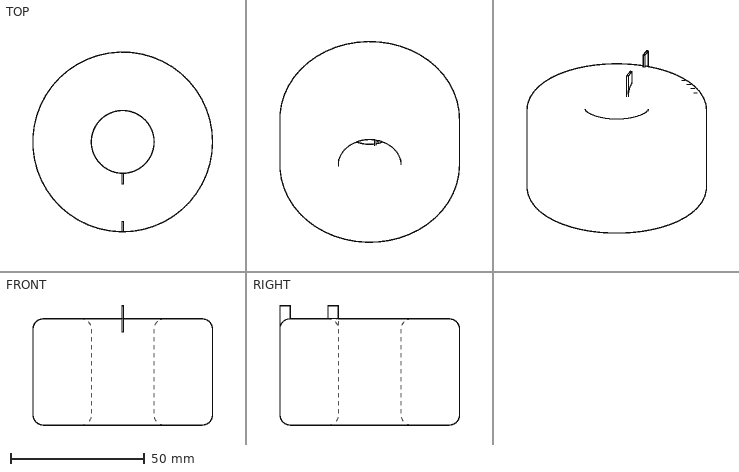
import cadquery as cq

outer_diameter = 67.5
bore_diameter = 23.5
body_height = 39.95
edge_radius = 4.0

tab_thickness = 0.7
tab_width = edge_radius
total_height = 44.9
tab_length = 10.0


def ring_body():
    """Ring with all four circular edges rounded."""
    ring = cq.Workplane("XY").circle(outer_diameter / 2).circle(bore_diameter / 2).extrude(body_height)
    return ring.faces("<Z or >Z").edges().fillet(edge_radius)


def terminal_tab(center_y):
    """Upright tab partly sunk into the ring and standing above its top face."""
    tab = cq.Workplane("XY", origin=(0, center_y, total_height - tab_length))
    return tab.rect(tab_thickness, tab_width).extrude(tab_length)


outer_tab_y = -(outer_diameter - tab_width) / 2
inner_tab_y = -(bore_diameter + tab_width) / 2

result = ring_body()
for tab_y in (outer_tab_y, inner_tab_y):
    result = result.union(terminal_tab(tab_y))